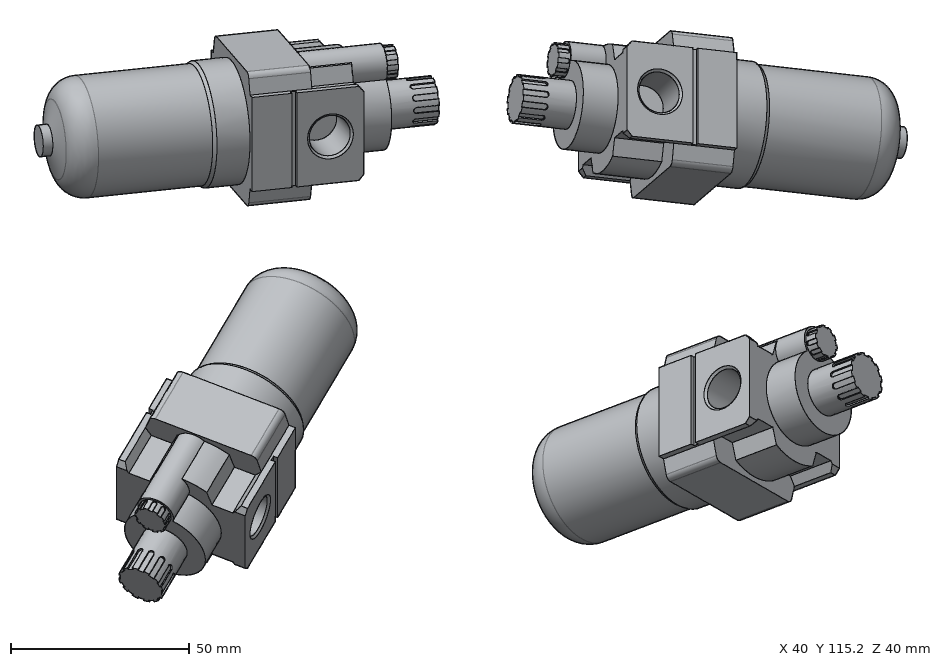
import cadquery as cq
import math


BODY_SIZE = 40.0
BODY_HALF = BODY_SIZE / 2
BLOCK_LENGTH = 18.1
BLOCK_HALF_WIDTH = 18.0
BLOCK_TAPER = 15.0
BLOCK_CORNER_RADIUS = 2.0

FLANGE_LENGTH = 32.7
FLANGE_HALF_HEIGHT = 14.0
FLANGE_CHAMFER_LENGTH = 1.5
FLANGE_CHAMFER_HEIGHT = 1.7
GROOVE_START = 11.6
GROOVE_WIDTH = 1.5
GROOVE_DEPTH = 1.3

PORT_Y = 22.9
PORT_RADIUS = 6.0
PORT_CHAMFER = 0.7
PORT_DEPTH = 13.8

HUMP_RADIUS = 18.3
HUMP_HALF_WIDTH = 8.1
VALLEY_INNER_HALF_WIDTH = 9.7
VALLEY_OUTER_HALF_WIDTH = 16.1
VALLEY_HEIGHT = 11.5

NECK_RADIUS = 12.5
NECK_END = 43.1
TOWER_X = 2.9
TOWER_Z = 13.8
TOWER_RADIUS = 5.5

KNOB_RADIUS = 6.9
KNOB_END = 58.8
KNOB_SLOT_COUNT = 12
KNOB_SLOT_WIDTH = 1.7
KNOB_SLOT_LENGTH = 7.5
KNOB_SLOT_DEPTH = 0.6

SMALL_KNOB_RADIUS = 4.8
SMALL_KNOB_LENGTH = 3.5
SMALL_KNOB_SLOT_COUNT = 10
SMALL_KNOB_SLOT_WIDTH = 1.4
SMALL_KNOB_SLOT_LENGTH = 3.3
SMALL_KNOB_SLOT_DEPTH = 0.5

COLLAR_RADIUS = BLOCK_HALF_WIDTH
COLLAR_LENGTH = 10.7
COLLAR_CHAMFER_LENGTH = 1.0
BOWL_RADIUS = 17.3
BOWL_STRAIGHT_END = -44.1
DOME_RADIUS = 8.0
DOME_CONE_ANGLE = 15.0
NUB_RADIUS = 4.5
BOWL_END = KNOB_END - 115.2


def extrude_along_y(sketch, start, end):
    """Extrude an XZ sketch from Y = start to Y = end."""
    return sketch.extrude(start - end).translate((0, start, 0))


def cylinder_along_y(radius, start, end, x=0.0, z=0.0):
    return extrude_along_y(cq.Workplane("XZ").center(x, z).circle(radius), start, end)


def make_block():
    """Square block whose four corners are tapered and rounded."""
    top_half_width = BLOCK_HALF_WIDTH - math.tan(math.radians(BLOCK_TAPER)) * (BODY_HALF - FLANGE_HALF_HEIGHT)
    upper = [
        (BLOCK_HALF_WIDTH, FLANGE_HALF_HEIGHT),
        (top_half_width, BODY_HALF),
        (-top_half_width, BODY_HALF),
        (-BLOCK_HALF_WIDTH, FLANGE_HALF_HEIGHT),
    ]
    lower = [(-x, -z) for x, z in upper]
    block = extrude_along_y(cq.Workplane("XZ").polyline(upper + lower).close(), 0, BLOCK_LENGTH)
    corners = block.edges("|Y").edges(">Z or <Z")
    return corners.fillet(BLOCK_CORNER_RADIUS)


def make_rear_section():
    """Rear length of the housing, full flange width, with a valley on each side of the humps."""
    hump_edge = math.sqrt(HUMP_RADIUS**2 - HUMP_HALF_WIDTH**2)
    sketch = cq.Workplane("XZ").moveTo(BODY_HALF, -FLANGE_HALF_HEIGHT)
    for side in (1, -1):
        sketch = (
            sketch.lineTo(side * BODY_HALF, side * FLANGE_HALF_HEIGHT)
            .lineTo(side * BLOCK_HALF_WIDTH, side * FLANGE_HALF_HEIGHT)
            .lineTo(side * VALLEY_OUTER_HALF_WIDTH, side * VALLEY_HEIGHT)
            .lineTo(side * VALLEY_INNER_HALF_WIDTH, side * VALLEY_HEIGHT)
            .lineTo(side * HUMP_HALF_WIDTH, side * hump_edge)
            .threePointArc((0, side * HUMP_RADIUS), (-side * HUMP_HALF_WIDTH, side * hump_edge))
            .lineTo(-side * VALLEY_INNER_HALF_WIDTH, side * VALLEY_HEIGHT)
            .lineTo(-side * VALLEY_OUTER_HALF_WIDTH, side * VALLEY_HEIGHT)
            .lineTo(-side * BLOCK_HALF_WIDTH, side * FLANGE_HALF_HEIGHT)
            .lineTo(-side * BODY_HALF, side * FLANGE_HALF_HEIGHT)
        )
    return extrude_along_y(sketch.close(), BLOCK_LENGTH, FLANGE_LENGTH)


def make_flange_corner_cut(x_side, z_side):
    """Wedge that chamfers one rear corner of a flange, outside the valley."""
    z_edge = z_side * FLANGE_HALF_HEIGHT
    wedge = (
        cq.Workplane("YZ")
        .moveTo(FLANGE_LENGTH, z_edge)
        .lineTo(FLANGE_LENGTH - FLANGE_CHAMFER_LENGTH, z_edge)
        .lineTo(FLANGE_LENGTH, z_edge - z_side * FLANGE_CHAMFER_HEIGHT)
        .close()
        .extrude(BODY_HALF - VALLEY_OUTER_HALF_WIDTH)
        .translate((VALLEY_OUTER_HALF_WIDTH, 0, 0))
    )
    return wedge if x_side > 0 else wedge.mirror("YZ")


def make_port():
    """Blind port cut on the +X side, chamfered at its mouth."""
    port = (
        cq.Workplane("XY")
        .moveTo(0, 0)
        .lineTo(PORT_RADIUS + PORT_CHAMFER, 0)
        .lineTo(PORT_RADIUS, -PORT_CHAMFER)
        .lineTo(PORT_RADIUS, -PORT_DEPTH)
        .lineTo(0, -PORT_DEPTH)
        .close()
        .revolve(360, (0, 0, 0), (0, 1, 0))
    )
    return port.rotate((0, 0, 0), (0, 0, 1), -90).translate((BODY_HALF, PORT_Y, 0))


def make_flange_groove():
    """Vertical groove across the outer face of the +X flange."""
    return cq.Workplane("XY").box(
        GROOVE_DEPTH, GROOVE_WIDTH, BODY_SIZE, centered=(False, False, True)
    ).translate((BODY_HALF - GROOVE_DEPTH, GROOVE_START, 0))


def make_knob(radius, start, end, slot_count, slot_width, slot_length, slot_depth):
    """Round knob on the Y axis with round-ended grip slots that run out at its outer end."""
    knob = cylinder_along_y(radius, start, end)
    slot_floor = radius - slot_depth
    arc_center = end - slot_length + slot_width / 2
    slot = (
        cq.Workplane("XY", origin=(0, 0, slot_floor))
        .moveTo(-slot_width / 2, end)
        .lineTo(-slot_width / 2, arc_center)
        .threePointArc((0, end - slot_length), (slot_width / 2, arc_center))
        .lineTo(slot_width / 2, end)
        .close()
        .extrude(2 * slot_depth)
    )
    for index in range(slot_count):
        knob = knob.cut(slot.rotate((0, 0, 0), (0, 1, 0), index * 360 / slot_count))
    return knob


def make_housing():
    flange_plate = extrude_along_y(
        cq.Workplane("XZ").rect(BODY_SIZE, 2 * FLANGE_HALF_HEIGHT), 0, BLOCK_LENGTH
    )
    housing = make_block().union(flange_plate).union(make_rear_section())

    for x_side in (1, -1):
        for z_side in (1, -1):
            housing = housing.cut(make_flange_corner_cut(x_side, z_side))
    for side_cut in (make_port(), make_flange_groove()):
        housing = housing.cut(side_cut).cut(side_cut.mirror("YZ"))

    neck = cylinder_along_y(NECK_RADIUS, FLANGE_LENGTH, NECK_END)
    tower = cylinder_along_y(TOWER_RADIUS, BLOCK_LENGTH, NECK_END, TOWER_X, TOWER_Z)
    knob = make_knob(
        KNOB_RADIUS, NECK_END, KNOB_END,
        KNOB_SLOT_COUNT, KNOB_SLOT_WIDTH, KNOB_SLOT_LENGTH, KNOB_SLOT_DEPTH,
    )
    small_knob = make_knob(
        SMALL_KNOB_RADIUS, NECK_END, NECK_END + SMALL_KNOB_LENGTH,
        SMALL_KNOB_SLOT_COUNT, SMALL_KNOB_SLOT_WIDTH, SMALL_KNOB_SLOT_LENGTH, SMALL_KNOB_SLOT_DEPTH,
    ).translate((TOWER_X, 0, TOWER_Z))
    return housing.union(neck).union(tower).union(knob).union(small_knob)


def make_bowl():
    """Turned bowl: mounting collar, straight wall, rounded and conical dome, drain nub."""
    def dome_point(angle):
        """Point of the dome's arc, at an angle in degrees from the bowl's axis."""
        return (
            BOWL_RADIUS - DOME_RADIUS * (1 - math.sin(math.radians(angle))),
            BOWL_STRAIGHT_END - DOME_RADIUS * math.cos(math.radians(angle)),
        )

    cone_start_radius, cone_start_y = dome_point(DOME_CONE_ANGLE)
    cone_drop = (cone_start_radius - NUB_RADIUS) * math.tan(math.radians(DOME_CONE_ANGLE))
    return (
        cq.Workplane("XY")
        .moveTo(0, 0)
        .lineTo(COLLAR_RADIUS, 0)
        .lineTo(COLLAR_RADIUS, -COLLAR_LENGTH + COLLAR_CHAMFER_LENGTH)
        .lineTo(BOWL_RADIUS, -COLLAR_LENGTH)
        .lineTo(BOWL_RADIUS, BOWL_STRAIGHT_END)
        .threePointArc(dome_point((90 + DOME_CONE_ANGLE) / 2), (cone_start_radius, cone_start_y))
        .lineTo(NUB_RADIUS, cone_start_y - cone_drop)
        .lineTo(NUB_RADIUS, BOWL_END)
        .lineTo(0, BOWL_END)
        .close()
        .revolve(360, (0, 0, 0), (0, 1, 0))
    )


housing = make_housing()
bowl = make_bowl()

result = cq.Compound.makeCompound([housing.val(), bowl.val()])